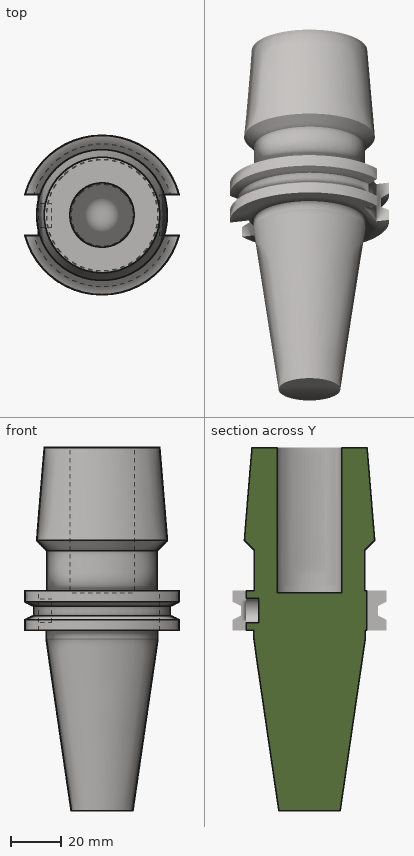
import cadquery as cq

total_length = 144.5

taper_ratio = 7 / 24
gauge_diameter = 44.5
gauge_height = 68.3
shank_end_diameter = gauge_diameter - taper_ratio * gauge_height

flange_diameter = 63.4
flange_bottom = 71.6
flange_thickness = 15.9
flange_top = flange_bottom + flange_thickness
flange_middle = flange_bottom + flange_thickness / 2
groove_root_diameter = 56.8
groove_center = 79.5
groove_root_width = 3.8
groove_mouth_width = 7.2

neck_diameter = 44.0
neck_top = 103.4
head_base_height = 107.5
head_base_diameter = 52.0
head_top_diameter = 46.0

bore_diameter = 25.5
bore_depth = 57.8

slot_width = 16.2
minus_x_slot_floor = 25.3
plus_x_slot_floor = 22.8
slot_hole_diameter = 9.5
slot_hole_depth = 5.0


def make_body():
    """Revolve the half profile of shank, flange, neck and head about Z."""
    profile = [
        (0, 0),
        (shank_end_diameter / 2, 0),
        (gauge_diameter / 2, gauge_height),
        (gauge_diameter / 2, flange_bottom),
        (flange_diameter / 2, flange_bottom),
        (flange_diameter / 2, groove_center - groove_mouth_width / 2),
        (groove_root_diameter / 2, groove_center - groove_root_width / 2),
        (groove_root_diameter / 2, groove_center + groove_root_width / 2),
        (flange_diameter / 2, groove_center + groove_mouth_width / 2),
        (flange_diameter / 2, flange_top),
        (neck_diameter / 2, flange_top),
        (neck_diameter / 2, neck_top),
        (head_base_diameter / 2, head_base_height),
        (head_top_diameter / 2, total_length),
        (0, total_length),
    ]
    return cq.Workplane("XZ").polyline(profile).close().revolve(360, (0, 0), (0, 1))


def make_bore():
    """Blind tool bore entering from the top face."""
    return (
        cq.Workplane("XY")
        .workplane(offset=total_length)
        .circle(bore_diameter / 2)
        .extrude(-bore_depth)
    )


def make_drive_slot(side, floor_distance):
    """Flat-floored slot through the flange height; side is -1 or +1 along X."""
    slot_depth = flange_diameter / 2 - floor_distance
    slot_middle = floor_distance + slot_depth / 2
    slot = cq.Workplane("XY").box(slot_depth, slot_width, flange_thickness)
    return slot.translate((side * slot_middle, 0, flange_middle))


def make_slot_hole():
    """Shallow blind hole sunk inward from the floor of the -X slot."""
    return (
        cq.Workplane("YZ", origin=(-minus_x_slot_floor, 0, flange_middle))
        .circle(slot_hole_diameter / 2)
        .extrude(slot_hole_depth)
    )


result = (
    make_body()
    .cut(make_bore())
    .cut(make_drive_slot(-1, minus_x_slot_floor))
    .cut(make_drive_slot(1, plus_x_slot_floor))
    .cut(make_slot_hole())
)